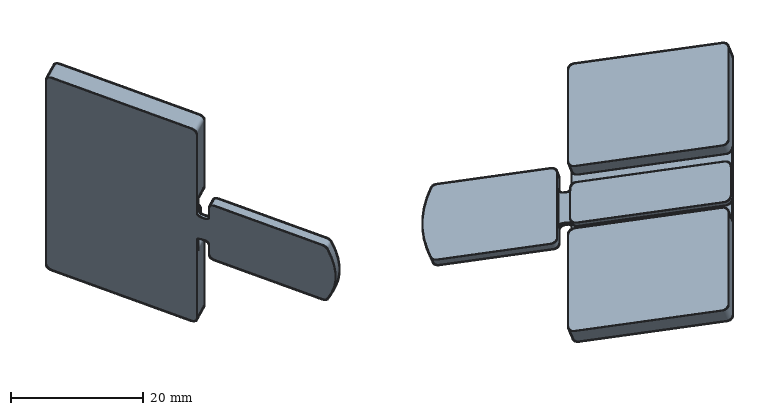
import cadquery as cq
import math

card_width = 25.0
card_height = 49.5
card_thickness = 2.9
corner_radius = 1.0

web_thickness = 0.6
gap = 2.0
rib_width = 7.5
channel_width = rib_width + 2 * gap

tab_thickness = 1.5
tab_width = 14.0
tab_length = 21.0
tab_shoulder_x = card_width + gap
tab_tip_x = tab_shoulder_x + tab_length
neck_width = 5.65
neck_fillet = 0.75

tip_radius = 16.0


def block(x_start, x_end, y_start, y_end, height):
    """Box spanning the given X and Y ranges, centred on Z = 0."""
    return cq.Workplane("XY").box(
        x_end - x_start, y_end - y_start, height, centered=(False, False, True)
    ).translate((x_start, y_start, 0))


def make_card():
    """Rounded card with the rear channel cut through it."""
    card = block(0, card_width, 0, card_thickness, card_height).edges("|Y").fillet(corner_radius)
    channel = block(0, card_width, web_thickness, card_thickness, channel_width)
    card = card.cut(channel)
    mouth = cq.selectors.BoxSelector(
        (-gap, web_thickness, -channel_width / 2 - gap),
        (card_width + gap, card_thickness, channel_width / 2 + gap),
    )
    return card.edges("|Y").edges(mouth).fillet(corner_radius)


def make_rib():
    """Rib on the web, as long as the card is wide, with rounded ends."""
    return block(0, card_width, web_thickness, tab_thickness, rib_width).edges("|Y").fillet(corner_radius)


def make_tab():
    """Flat tab with a curved tip and rounded corners."""
    half_width = tab_width / 2
    tip_depth = tip_radius - math.sqrt(tip_radius**2 - half_width**2)
    arc_end_x = tab_tip_x - tip_depth
    tab = (
        cq.Workplane("XZ")
        .moveTo(tab_shoulder_x, -half_width)
        .lineTo(arc_end_x, -half_width)
        .threePointArc((tab_tip_x, 0), (arc_end_x, half_width))
        .lineTo(tab_shoulder_x, half_width)
        .close()
        .extrude(-tab_thickness)
    )
    return tab.edges("|Y").fillet(corner_radius)


def make_neck():
    """Thin bridge from card to tab, flared by a fillet at each of its four corners."""
    neck = block(card_width, tab_shoulder_x, 0, web_thickness, neck_width + 2 * neck_fillet)
    notch_depth = gap
    notch_centre_z = (neck_width + notch_depth) / 2
    for side in (-1, 1):
        notch = block(card_width, tab_shoulder_x, 0, web_thickness, notch_depth)
        notch = notch.edges("|Y").fillet(neck_fillet)
        neck = neck.cut(notch.translate((0, 0, side * notch_centre_z)))
    return neck


result = make_card().union(make_rib()).union(make_tab()).union(make_neck())